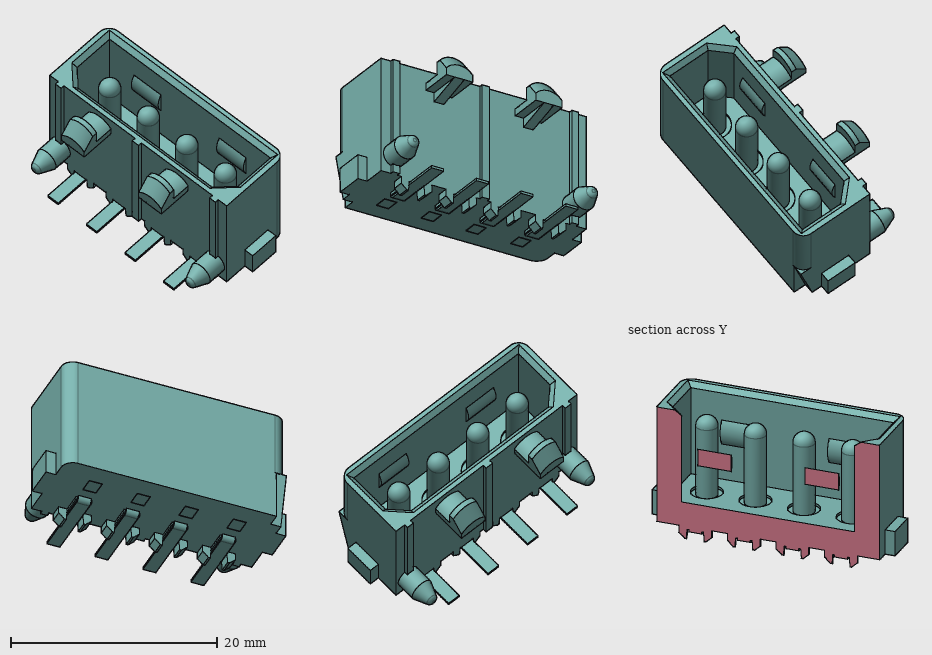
import cadquery as cq
import math


body_width = 23.32
body_depth = 8.4
body_height = 12.32
back_corner_radius = 1.25

foot_height = 5.28
foot_taper = 1.37
foot_width = 1.07

side_wall = 1.07
long_wall = 1.0
floor_height = 2.6
cavity_corner = 1.78
lip_chamfer = 0.5

pitch = 5.08
contact_count = 4
contact_xs = [(i - (contact_count - 1) / 2) * pitch for i in range(contact_count)]
pin_radius = 1.1
pin_top = 10.77
pin_y = body_depth / 2
socket_radius = 1.6
socket_depth = 0.25
lead_width = 1.37
lead_thickness = 0.25
lead_bottom = -0.53
lead_tip_y = -3.9
lead_back_y = 3.75
lead_bend_radius = 0.5
pad_front_y = 4.8
pad_back_y = 6.35
pad_drop = 0.05

bump_x = 5.61
bump_width = 3.53
bump_bottom = 6.35
bump_top = 8.92
bump_bulge = 0.38

overall_width = 25.4
ear_height = 2.62
ear_front_y = 2.6
ear_back_y = 5.9

rib_depth = 0.4
middle_rib_width = 0.85
side_rib_width = 0.75

peg_x = 2 * pitch
peg_z = 2.03
peg_radius = 1.22
peg_shoulder = 2.05
peg_length = 3.84
peg_tip_radius = 0.5
peg_tip_fillet = 0.48

latch_x = pitch
latch_width = 3.0
latch_bottom = 10.19
latch_crown = 0.65
arm_edge_height = 10.95
head_edge_height = body_height
head_start = 2.05
head_flat_end = 2.62
latch_reach = peg_length
gusset_width = 1.1
gusset_bottom = 9.2

fork_half_width = 1.73
fork_depth = 1.32
fork_shoulder = 0.74
fork_height = 1.3
fork_tip_outer = 1.12
fork_tip_inner = 0.91
slot_half_width = 0.85
slot_top = 0.3


def box(x0, x1, y0, y1, z0, z1):
    """Block between two opposite corners."""
    return cq.Workplane("XY").box(x1 - x0, y1 - y0, z1 - z0, centered=False).translate((x0, y0, z0))


def centred_box(x, width, y0, y1, z0, z1):
    """Block centred on x."""
    return box(x - width / 2, x + width / 2, y0, y1, z0, z1)


def housing_block():
    """Block with rounded back corners; the square foot fills one corner near the underside."""
    end = -body_width / 2
    block = centred_box(0, body_width, 0, body_depth, 0, body_height)
    block = block.edges("|Z and >Y").fillet(back_corner_radius)
    corner_fill = box(
        end, end + back_corner_radius, body_depth - back_corner_radius, body_depth, 0, foot_height
    )
    taper_cut = (
        cq.Workplane("YZ", origin=(end, 0, 0))
        .polyline([(body_depth - foot_taper, 0), (body_depth, foot_height), (body_depth, 0)])
        .close()
        .extrude(foot_width)
    )
    return block.union(corner_fill).cut(taper_cut)


def cavity_outline(plane, growth):
    """Rectangle with its two front corners cut off, grown outwards evenly from the floor size."""
    x = body_width / 2 - side_wall + growth
    front = long_wall - growth
    back = body_depth - long_wall + growth
    corner = cavity_corner + growth * (2 - math.sqrt(2))
    points = [
        (-x, back),
        (x, back),
        (x, front + corner),
        (x - corner, front),
        (-x + corner, front),
        (-x, front + corner),
    ]
    return plane.polyline(points).close()


def cavity():
    """Straight-sided well with a chamfered lip."""
    shaft = cavity_outline(cq.Workplane("XY", origin=(0, 0, floor_height)), 0)
    shaft = shaft.extrude(body_height - floor_height)
    lip = cavity_outline(cq.Workplane("XY", origin=(0, 0, body_height - lip_chamfer)), 0)
    lip = cavity_outline(lip.workplane(offset=lip_chamfer), lip_chamfer).loft(ruled=True)
    return shaft.union(lip)


def ear(side):
    """Block standing out from one end wall, level with the underside."""
    reach = (overall_width - body_width) / 2
    middle = (overall_width - reach) / 2
    return centred_box(side * middle, reach, ear_front_y, ear_back_y, 0, ear_height)


def bump(x, wall_y, direction):
    """Shallow cylindrical swelling on a cavity wall, bulging along Y by direction."""
    middle = (bump_bottom + bump_top) / 2
    return (
        cq.Workplane("YZ", origin=(x - bump_width / 2, 0, 0))
        .moveTo(wall_y, bump_bottom)
        .threePointArc((wall_y + direction * bump_bulge, middle), (wall_y, bump_top))
        .close()
        .extrude(bump_width)
    )


def socket(x):
    """Shallow round recess in the cavity floor around a pin."""
    plane = cq.Workplane("XY", origin=(x, pin_y, floor_height - socket_depth))
    return plane.circle(socket_radius).extrude(socket_depth)


def contact_pad(x):
    """Thin pad under the housing behind a lead."""
    return centred_box(x, lead_width, pad_front_y, pad_back_y, -pad_drop, 0)


def pin(x):
    """Round pin with a hemispherical tip, rooted below the socket floor."""
    root = floor_height - 2 * socket_depth
    plane = cq.Workplane("XY", origin=(x, pin_y, root))
    shank = plane.circle(pin_radius).extrude(pin_top - pin_radius - root)
    dome = cq.Workplane("XY").sphere(pin_radius).translate((x, pin_y, pin_top - pin_radius))
    return shank.union(dome)


def lead(x):
    """Flat lead running forward under the housing, bent up into it at the back."""
    root = lead_thickness
    lead_top = lead_bottom + lead_thickness
    inner_y = lead_back_y - lead_thickness
    return (
        cq.Workplane("YZ", origin=(x - lead_width / 2, 0, 0))
        .moveTo(lead_tip_y, lead_bottom)
        .lineTo(lead_back_y - lead_bend_radius, lead_bottom)
        .radiusArc((lead_back_y, lead_bottom + lead_bend_radius), -lead_bend_radius)
        .lineTo(lead_back_y, root)
        .lineTo(inner_y, root)
        .lineTo(inner_y, lead_top)
        .lineTo(lead_tip_y, lead_top)
        .close()
        .extrude(lead_width)
    )


def lead_rail(x):
    """Rail under the housing, from the fork to the bend, that the lead lies against."""
    rail_back_y = lead_back_y - lead_thickness
    return centred_box(x, 2 * slot_half_width, fork_depth, rail_back_y, -slot_top, 0)


def fork(x):
    """Two pointed prongs either side of a lead."""
    right_half = [
        (fork_half_width, 0),
        (fork_half_width, -fork_shoulder),
        (fork_tip_outer, -fork_height),
        (fork_tip_inner, -fork_height),
        (slot_half_width, -slot_top),
    ]
    left_half = [(-px, pz) for px, pz in reversed(right_half)]
    plane = cq.Workplane("XZ", origin=(x, 0, 0))
    return plane.polyline(right_half + left_half).close().extrude(-fork_depth)


def peg(x):
    """Round peg with a conical end and a rounded tip."""
    half_profile = [
        (0, 0),
        (peg_radius, 0),
        (peg_radius, -peg_shoulder),
        (peg_tip_radius, -peg_length),
        (0, -peg_length),
    ]
    solid = cq.Workplane("XY").polyline(half_profile).close().revolve(360, (0, 0, 0), (0, 1, 0))
    return solid.faces("<Y").edges().fillet(peg_tip_fillet).translate((x, 0, peg_z))


def crowned_outline(plane, edge_height):
    """Latch cross-section: flat underside, upright sides and an arched top."""
    half = latch_width / 2
    return (
        plane.moveTo(-half, latch_bottom)
        .lineTo(-half, edge_height)
        .threePointArc((0, edge_height + latch_crown), (half, edge_height))
        .lineTo(half, latch_bottom)
        .close()
    )


def latch(x):
    """Arm with a raised head, a sloping nose and a gusset underneath."""
    arm = crowned_outline(cq.Workplane("XZ"), arm_edge_height).extrude(head_flat_end)
    head = crowned_outline(cq.Workplane("XZ", origin=(0, -head_start, 0)), head_edge_height)
    head = head.extrude(head_flat_end - head_start)
    nose_start = cq.Workplane("XZ", origin=(0, -head_flat_end, 0))
    nose = crowned_outline(nose_start, head_edge_height).workplane(offset=latch_reach - head_flat_end)
    nose = crowned_outline(nose, arm_edge_height).loft(ruled=True)
    gusset = (
        cq.Workplane("YZ", origin=(-gusset_width / 2, 0, 0))
        .polyline([(0, gusset_bottom), (0, latch_bottom), (-latch_reach, latch_bottom)])
        .close()
        .extrude(gusset_width)
    )
    return arm.union(head).union(nose).union(gusset).translate((x, 0, 0))


result = housing_block().cut(cavity())
for contact_x in contact_xs:
    result = result.cut(socket(contact_x))

for rib_x, rib_width in [(-peg_x, side_rib_width), (0, middle_rib_width), (peg_x, side_rib_width)]:
    result = result.union(centred_box(rib_x, rib_width, -rib_depth, 0, 0, body_height))

for contact_x in contact_xs:
    result = result.union(pin(contact_x)).union(fork(contact_x))
    result = result.union(lead(contact_x)).union(lead_rail(contact_x))
    result = result.union(contact_pad(contact_x))

for side in (-1, 1):
    result = result.union(ear(side))
    result = result.union(peg(side * peg_x)).union(latch(side * latch_x))
    result = result.union(bump(side * bump_x, long_wall, 1))
    result = result.union(bump(side * bump_x, body_depth - long_wall, -1))